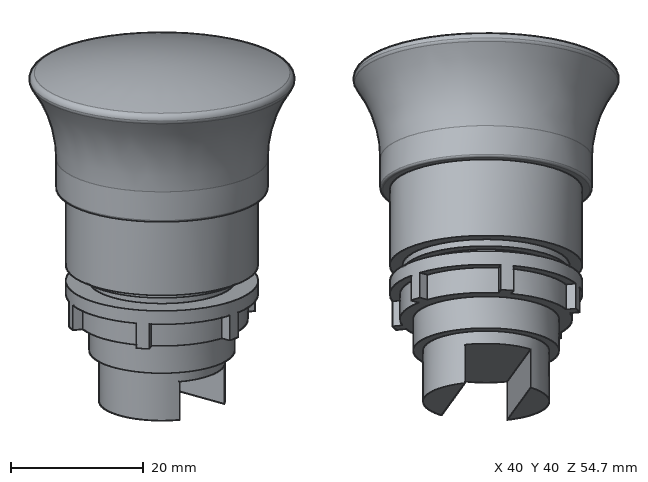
import cadquery as cq
import math

total_height = 54.7
slot_top = 6.05
foot_top = 8.05
lug_bottom = 13.0
flange_bottom = 16.95
flange_top = 19.1
collar_bottom = 20.5
barrel_bottom = 21.55
knob_bottom = 33.6
skirt_top = 38.5
flare_top = 50.6
rim_widest = 51.1
dome_edge_height = 52.1

foot_radius = 9.5
neck_radius = 11.0
collar_radius = 12.6
flange_radius = 14.5
barrel_radius = flange_radius
lug_root_radius = 12.95

lug_count = 6
lug_width = 1.95
slot_width = 10.1

skirt_radius = 15.95
skirt_edge_radius = 0.4
flare_arc_radius = 20.8
rim_diameter = 40.0
rim_radius = rim_diameter / 2
dome_edge_radius = 19.25


def disc(radius, bottom, top):
    """Cylinder on the Z axis between two heights."""
    return cq.Workplane("XY").workplane(offset=bottom).circle(radius).extrude(top - bottom)


def make_lugs():
    """Parallel-sided lugs radiating to the flange's outer radius."""
    lug_height = flange_bottom - lug_bottom
    spoke_length = flange_radius + lug_width
    spokes = cq.Workplane("XY")
    for index in range(lug_count):
        spoke = (
            cq.Workplane("XY", origin=(0, 0, lug_bottom))
            .rect(spoke_length, lug_width)
            .extrude(lug_height)
            .translate((spoke_length / 2, 0, 0))
            .rotate((0, 0, 0), (0, 0, 1), index * 360 / lug_count)
        )
        spokes = spokes.union(spoke)
    return spokes.intersect(disc(flange_radius, lug_bottom, flange_bottom))


def make_housing():
    """Stepped barrel with a lugged flange and two feet separated by a slot."""
    foot = disc(foot_radius, 0, foot_top)
    slot = cq.Workplane("XY").rect(2 * flange_radius, slot_width).extrude(slot_top)
    return (
        foot.cut(slot)
        .union(disc(neck_radius, foot_top, collar_bottom))
        .union(disc(lug_root_radius, lug_bottom, flange_bottom))
        .union(make_lugs())
        .union(disc(flange_radius, flange_bottom, flange_top))
        .union(disc(collar_radius, collar_bottom, barrel_bottom))
        .union(disc(barrel_radius, barrel_bottom, knob_bottom))
    )


def flare_radius_at(height):
    """Radius of the concave flare, which leaves the skirt vertically."""
    rise = height - skirt_top
    return skirt_radius + flare_arc_radius - math.sqrt(flare_arc_radius**2 - rise**2)


def make_knob():
    """Mushroom knob: straight skirt, concave flare, rounded rim and domed top."""
    flare_middle = (skirt_top + flare_top) / 2
    dome_rise = total_height - dome_edge_height
    dome_radius = (dome_edge_radius**2 + dome_rise**2) / (2 * dome_rise)
    dome_middle_radius = dome_edge_radius / 2
    dome_middle_height = total_height - dome_radius + math.sqrt(dome_radius**2 - dome_middle_radius**2)
    profile = (
        cq.Workplane("XZ")
        .moveTo(0, knob_bottom)
        .lineTo(skirt_radius, knob_bottom)
        .lineTo(skirt_radius, skirt_top)
        .threePointArc(
            (flare_radius_at(flare_middle), flare_middle),
            (flare_radius_at(flare_top), flare_top),
        )
        .tangentArcPoint((rim_radius, rim_widest), relative=False)
        .tangentArcPoint((dome_edge_radius, dome_edge_height), relative=False)
        .threePointArc((dome_middle_radius, dome_middle_height), (0, total_height))
        .close()
    )
    return profile.revolve(360, (0, 0, 0), (0, 1, 0)).faces("<Z").edges().fillet(skirt_edge_radius)


housing = make_housing()
knob = make_knob()

result = cq.Compound.makeCompound([housing.val(), knob.val()])